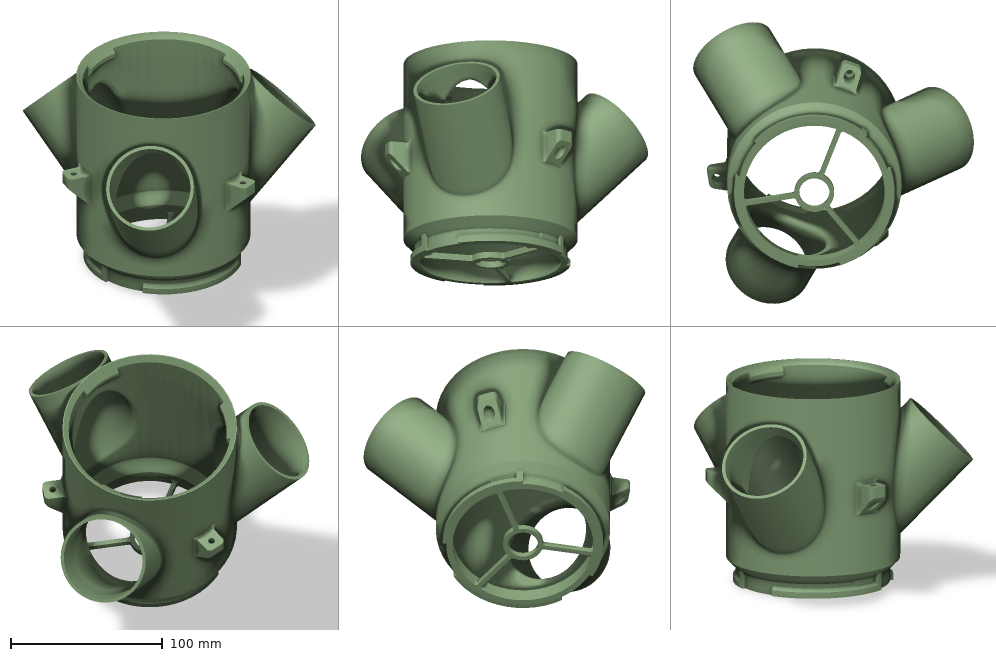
import cadquery as cq
import math

height = 136.5
barrel_radius = 115.0 / 2
bore_radius = 107.0 / 2
rim_land = 0.5
rim_depth = barrel_radius - rim_land - bore_radius

spigot_radius = 50.6
spigot_bore_radius = 93.0 / 2
outer_cone_start = 9.3
inner_cone_start = 10.7

lip_radius = 53.0
lip_height = 4.0
lip_chamfer = lip_radius - spigot_radius
lip_start_angle = -39
stop_start_angle = 45.7
stop_end_angle = 50.3
stop_height = outer_cone_start + lip_chamfer
detent_rise = 0.5
detent_angles = (24.1, 26, 43.2, 44.4)

tab_radius = 50.8
tab_half_angle = 15.4
tab_face_height = 3.0

pipe_radius = 58.0 / 2
pipe_bore_radius = 53.5 / 2
pipe_tilt = 45
pipe_axis_height = 14.0
pipe_reach = 85.5
pipe_start = 19.5
joint_fillet = 1.5
inner_joint_fillet = 3.5

lug_reach = 71.0
lug_width = 13.8
lug_top = 76.6
lug_face_height = 7.5
lug_corner_radius = 3.1
lug_flare = 1.7
lug_flare_start = barrel_radius + lug_flare
lug_root = barrel_radius - 2
lug_hole_position = 64.8
lug_hole_diameter = 4.5
lug_recess_diameter = 7.5
lug_recess_roof = 4.0

hub_radius = 26.2 / 2
hub_hole_radius = 20.0 / 2
spoke_width = 3.1
spider_height = 4.0
hub_fillet = 1.5
spoke_root_chamfer = 1.2

overlap = 1.0
branch_angles = (90, 210, 330)
lug_angles = (30, 150, 270)
seam_angle = 15


def polar(radius, angle):
    """Point in the XY plane from a radius and an angle in degrees."""
    return (radius * math.cos(math.radians(angle)), radius * math.sin(math.radians(angle)))


def turned(solid, angle):
    return solid.rotate((0, 0, 0), (0, 0, 1), angle)


def sweep_ring(profile, start_angle, end_angle):
    """Revolve an (r, z) profile about Z from start_angle to end_angle."""
    ring = cq.Workplane("XZ").polyline(profile).close().revolve(end_angle - start_angle, (0, 0), (0, 1))
    return turned(ring, start_angle)


def barrel_outside():
    outer_cone_end = outer_cone_start + barrel_radius - spigot_radius
    outline = [
        (0, 0),
        (spigot_radius, 0),
        (spigot_radius, outer_cone_start),
        (barrel_radius, outer_cone_end),
        (barrel_radius, height),
        (0, height),
    ]
    return sweep_ring(outline, seam_angle, seam_angle + 360)


def barrel_inside():
    outline = [
        (0, 0),
        (spigot_bore_radius, 0),
        (spigot_bore_radius, inner_cone_start),
        (bore_radius, inner_cone_start + bore_radius - spigot_bore_radius),
        (bore_radius, height),
        (0, height),
    ]
    return sweep_ring(outline, seam_angle, seam_angle + 360)


def rim_cone():
    """45 degree cone that chamfers the rim and the tops of the tabs."""
    mouth_radius = bore_radius + rim_depth
    outline = [(0, height - mouth_radius), (mouth_radius, height), (0, height)]
    return sweep_ring(outline, seam_angle, seam_angle + 360)


def pipe_rod(radius, start_reach, angle):
    """Inclined round bar from a radial start to the pipe mouth."""
    rise = math.tan(math.radians(pipe_tilt))
    start = cq.Vector(start_reach, 0, pipe_axis_height + start_reach * rise)
    end = cq.Vector(pipe_reach, 0, pipe_axis_height + pipe_reach * rise)
    axis = end - start
    rod = cq.Solid.makeCylinder(radius, axis.Length, start, axis)
    return turned(cq.Workplane(obj=rod), angle)


def lies_on_wall(edge, wall_radius):
    """True when the whole edge lies on the cylinder of this radius around Z."""
    tolerance = 0.02
    points = [edge.positionAt(step / 4) for step in range(5)]
    return all(abs(math.hypot(p.x, p.y) - wall_radius) < tolerance for p in points)


def pipe_joints(body, wall_radius):
    """Tall curved edges where the pipes cross a barrel wall of the given radius."""
    def is_joint(edge):
        is_tall_curve = edge.geomType() != "LINE" and edge.BoundingBox().zlen > pipe_radius
        return is_tall_curve and lies_on_wall(edge, wall_radius)

    return body.newObject([edge for edge in body.edges().vals() if is_joint(edge)])


def lip():
    outline = [
        (spigot_radius - overlap, 0),
        (lip_radius, 0),
        (lip_radius, lip_height),
        (spigot_radius, lip_height + lip_chamfer),
        (spigot_radius - overlap, lip_height + lip_chamfer),
    ]
    return sweep_ring(outline, lip_start_angle, stop_start_angle)


def stop():
    outline = [
        (spigot_radius - overlap, 0),
        (lip_radius, 0),
        (lip_radius, stop_height),
        (spigot_radius - overlap, stop_height),
    ]
    return sweep_ring(outline, stop_start_angle, stop_end_angle)


def detent():
    """Low ramped bump in the groove between the lip and the cone."""
    foot_start, crest_start, crest_end, foot_end = detent_angles
    crest_radius = spigot_radius + detent_rise
    return (
        cq.Workplane("XY")
        .workplane(offset=lip_height)
        .moveTo(*polar(spigot_radius - overlap, foot_start))
        .lineTo(*polar(spigot_radius, foot_start))
        .lineTo(*polar(crest_radius, crest_start))
        .threePointArc(polar(crest_radius, (crest_start + crest_end) / 2), polar(crest_radius, crest_end))
        .lineTo(*polar(spigot_radius, foot_end))
        .lineTo(*polar(spigot_radius - overlap, foot_end))
        .close()
        .extrude(outer_cone_start + detent_rise - lip_height)
    )


def tab():
    """Inward tab with a 45 degree underside, left square on top for the rim cone to trim."""
    depth = bore_radius - tab_radius
    wall_top = height - rim_depth
    face_bottom = wall_top - depth - tab_face_height
    outline = [
        (tab_radius, wall_top),
        (tab_radius, face_bottom),
        (bore_radius, face_bottom - depth),
        (bore_radius + overlap, face_bottom - depth),
        (bore_radius + overlap, wall_top),
    ]
    return sweep_ring(outline, -tab_half_angle, tab_half_angle)


def lug():
    """Lug along +X: its plan crossed with its side profile, with filleted roots at the wall."""
    half_width = lug_width / 2
    flare_width = half_width + lug_flare
    flare_end = barrel_radius
    lug_bottom = lug_top - lug_face_height - (lug_reach - barrel_radius)
    arc_middle = lug_flare * (1 - math.sqrt(0.5))
    middle_reach = flare_end + arc_middle
    middle_width = half_width + arc_middle
    block = (
        cq.Workplane("XY")
        .moveTo(lug_root, -flare_width)
        .lineTo(flare_end, -flare_width)
        .threePointArc((middle_reach, -middle_width), (lug_flare_start, -half_width))
        .lineTo(lug_reach, -half_width)
        .lineTo(lug_reach, half_width)
        .lineTo(lug_flare_start, half_width)
        .threePointArc((middle_reach, middle_width), (flare_end, flare_width))
        .lineTo(lug_root, flare_width)
        .close()
        .extrude(height)
        .faces(">X")
        .edges("|Z")
        .fillet(lug_corner_radius)
    )
    slab = (
        cq.Workplane("XZ")
        .moveTo(lug_root, lug_bottom)
        .lineTo(barrel_radius, lug_bottom)
        .lineTo(lug_reach, lug_top - lug_face_height)
        .lineTo(lug_reach, lug_top)
        .lineTo(lug_flare_start, lug_top)
        .threePointArc((middle_reach, lug_top + arc_middle), (flare_end, lug_top + lug_flare))
        .lineTo(lug_root, lug_top + lug_flare)
        .close()
        .extrude(flare_width, both=True)
    )
    hole = cq.Workplane("XY").center(lug_hole_position, 0).circle(lug_hole_diameter / 2).extrude(height)
    recess = (
        cq.Workplane("XY")
        .center(lug_hole_position, 0)
        .circle(lug_recess_diameter / 2)
        .extrude(lug_top - lug_recess_roof)
    )
    return block.intersect(slab).cut(hole).cut(recess)


def spider():
    """Central ring on three spokes, filleted at the hub and chamfered into the spigot wall."""
    web = cq.Workplane("XY").circle(hub_radius).extrude(spider_height)
    spoke_end = spigot_bore_radius + overlap
    for angle in lug_angles:
        spoke = (
            cq.Workplane("XY")
            .center(spoke_end / 2, 0)
            .rect(spoke_end, spoke_width)
            .extrude(spider_height)
        )
        web = web.union(turned(spoke, angle))
    hub_corners = [edge for edge in web.edges("|Z").vals() if lies_on_wall(edge, hub_radius)]
    web = web.newObject(hub_corners).fillet(hub_fillet)
    web = web.cut(cq.Workplane("XY").circle(hub_hole_radius).extrude(spider_height))

    wall = cq.Workplane("XY").circle(spigot_radius - overlap).circle(spigot_bore_radius).extrude(inner_cone_start)
    web = web.union(wall)
    spoke_roots = [
        edge
        for edge in web.edges().vals()
        if lies_on_wall(edge, spigot_bore_radius) and edge.Length() < spider_height + overlap
    ]
    return web.newObject(spoke_roots).chamfer(spoke_root_chamfer)


body = barrel_outside()
for angle in branch_angles:
    body = body.union(pipe_rod(pipe_radius, pipe_start, angle))
body = body.cut(barrel_inside())
for angle in branch_angles:
    body = body.cut(pipe_rod(pipe_bore_radius, pipe_start, angle))

for angle in branch_angles:
    body = body.union(turned(tab(), angle))
body = body.cut(rim_cone())
for angle in lug_angles:
    body = body.union(turned(lug(), angle))
    for bayonet_part in (lip(), stop(), detent()):
        body = body.union(turned(bayonet_part, angle - lug_angles[0]))
body = body.union(spider())

body = pipe_joints(body, barrel_radius).fillet(joint_fillet)
result = pipe_joints(body, bore_radius).fillet(inner_joint_fillet)